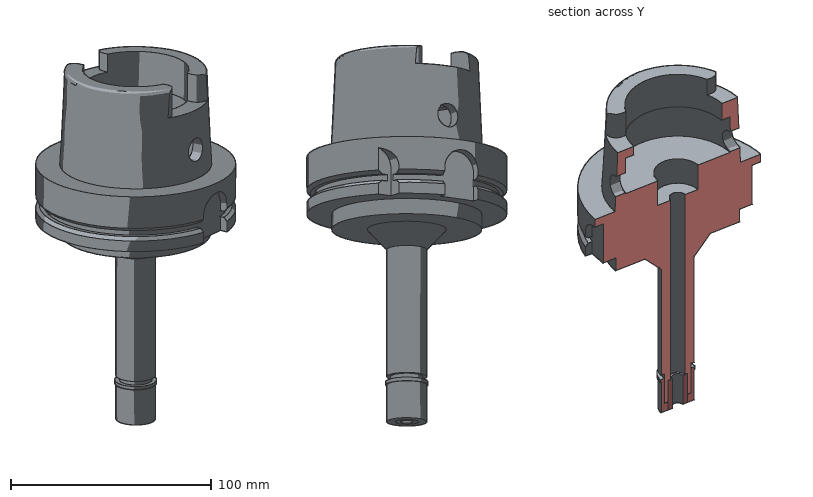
import cadquery as cq

SHANK_HEIGHT = 50.0
SHANK_BASE_R = 38.0
SHANK_TOP_R = 35.65
SHANK_RIM_FILLET = 2.0
BORE_R = 26.5
BORE_LIP_Z = 30.0
UNDERCUT_R = 31.5
BORE_FLOOR_Z = 8.5
TUBE_SEAT_R = 12.0
TUBE_SEAT_DEPTH = 15.0
COOLANT_R = 4.25
CROSS_HOLE_R = 6.0
CROSS_HOLE_Z = 15.0

KEYWAY_WIDTH = 20.0
KEYWAY_FLAT_X = 32.15
KEYWAY_CORNER_R = 5.0
KEYWAY_FLOOR_LEFT_Z = 40.5
KEYWAY_FLOOR_RIGHT_Z = 35.5

FLANGE_R = 50.0
FLANGE_BOTTOM_Z = -29.0
GROOVE_FLOOR_R = 46.0
GROOVE_CENTER_Z = -20.05
GROOVE_WIDTH = 3.2
GROOVE_CHAMFER = 1.75

SLOT_WIDTH = 20.0
SLOT_TOP_Z = -5.0
SLOT_FLOOR_X = 45.0
NOTCH_FLOOR_X = 32.0
NOTCH_CENTER_Y = 41.0

HUB_R = 37.5
HUB_BOTTOM_Z = -36.75
CONE_TOP_R = 19.75
STEM_R = 10.0
STEM_TOP_Z = -47.0
STEM_BOTTOM_Z = -111.9
NECK_R = 8.2

END_Z = -135.0
NUT_TOP_Z = -114.4
NUT_RIM_R = 10.5
NUT_RIM_HEIGHT = 1.8
NUT_R = STEM_R
NUT_FRONT_WALL = 5.0
NECK_BOTTOM_Z = END_Z + NUT_FRONT_WALL
COLLET_R = 5.75
COLLET_LENGTH = 18.0
COLLET_TOP_Z = END_Z + COLLET_LENGTH
COLLET_BORE_R = 3.1

OVERCUT = 1.0


def cylinder(radius, bottom_z, top_z):
    """Upright cylinder on the Z axis."""
    return cq.Workplane("XY").workplane(offset=bottom_z).circle(radius).extrude(top_z - bottom_z)


def holder_blank():
    """Revolved outside of the holder, from the shank rim down to the threaded neck."""
    floor_half = GROOVE_WIDTH / 2
    mouth_half = floor_half + GROOVE_CHAMFER
    chamfer_r = FLANGE_R - GROOVE_CHAMFER
    profile = [
        (0, SHANK_HEIGHT),
        (SHANK_TOP_R, SHANK_HEIGHT),
        (SHANK_BASE_R, 0),
        (FLANGE_R, 0),
        (FLANGE_R, GROOVE_CENTER_Z + mouth_half),
        (chamfer_r, GROOVE_CENTER_Z + floor_half),
        (GROOVE_FLOOR_R, GROOVE_CENTER_Z + floor_half),
        (GROOVE_FLOOR_R, GROOVE_CENTER_Z - floor_half),
        (chamfer_r, GROOVE_CENTER_Z - floor_half),
        (FLANGE_R, GROOVE_CENTER_Z - mouth_half),
        (FLANGE_R, FLANGE_BOTTOM_Z),
        (HUB_R, FLANGE_BOTTOM_Z),
        (HUB_R, HUB_BOTTOM_Z),
        (CONE_TOP_R, HUB_BOTTOM_Z),
        (STEM_R, STEM_TOP_Z),
        (STEM_R, STEM_BOTTOM_Z),
        (NECK_R, STEM_BOTTOM_Z),
        (NECK_R, NECK_BOTTOM_Z),
        (0, NECK_BOTTOM_Z),
    ]
    blank = cq.Workplane("XZ").polyline(profile).close().revolve(360, (0, 0), (0, 1))
    return blank.faces(">Z").edges().fillet(SHANK_RIM_FILLET)


def holder_cavity():
    """Clamping bore with its undercut, tube seat, coolant bore and collet seat."""
    seat_bottom_z = BORE_FLOOR_Z - TUBE_SEAT_DEPTH
    cavity = cylinder(BORE_R, BORE_FLOOR_Z, SHANK_HEIGHT + OVERCUT)
    cavity = cavity.union(cylinder(UNDERCUT_R, BORE_FLOOR_Z, BORE_LIP_Z))
    cavity = cavity.union(cylinder(TUBE_SEAT_R, seat_bottom_z, BORE_FLOOR_Z))
    cavity = cavity.union(cylinder(COOLANT_R, COLLET_TOP_Z, seat_bottom_z))
    return cavity.union(cylinder(COLLET_R, NECK_BOTTOM_Z, COLLET_TOP_Z))


def keyway_cutter(side, floor_z):
    """Keyway on one X side: a gap with rounded mouth corners, opening into a flat."""
    inner_x = BORE_R / 2
    outer_x = SHANK_BASE_R + OVERCUT
    half_width = KEYWAY_WIDTH / 2
    corner_x = KEYWAY_FLAT_X - KEYWAY_CORNER_R
    corner_y = half_width + KEYWAY_CORNER_R
    outline = (
        cq.Workplane("XY")
        .workplane(offset=floor_z)
        .moveTo(side * inner_x, -half_width)
        .lineTo(side * corner_x, -half_width)
        .radiusArc((side * KEYWAY_FLAT_X, -corner_y), side * KEYWAY_CORNER_R)
        .lineTo(side * KEYWAY_FLAT_X, -SHANK_BASE_R)
        .lineTo(side * outer_x, -SHANK_BASE_R)
        .lineTo(side * outer_x, SHANK_BASE_R)
        .lineTo(side * KEYWAY_FLAT_X, SHANK_BASE_R)
        .lineTo(side * KEYWAY_FLAT_X, corner_y)
        .radiusArc((side * corner_x, half_width), side * KEYWAY_CORNER_R)
        .lineTo(side * inner_x, half_width)
        .close()
    )
    return outline.extrude(SHANK_HEIGHT + OVERCUT - floor_z)


def arched_slot_cutter(side, floor_x, center_y):
    """Round-topped slot cut along X from outside the flange, open at the flange bottom."""
    half_width = SLOT_WIDTH / 2
    spring_z = SLOT_TOP_Z - half_width
    bottom_z = FLANGE_BOTTOM_Z
    outline = (
        cq.Workplane("YZ")
        .workplane(offset=side * floor_x)
        .moveTo(center_y - half_width, bottom_z)
        .lineTo(center_y - half_width, spring_z)
        .threePointArc((center_y, SLOT_TOP_Z), (center_y + half_width, spring_z))
        .lineTo(center_y + half_width, bottom_z)
        .close()
    )
    return outline.extrude(side * (FLANGE_R + OVERCUT - floor_x))


def make_holder():
    """Tool holder with hollow taper shank, flange and slender stem."""
    holder = holder_blank().cut(holder_cavity())
    holder = holder.cut(keyway_cutter(-1, KEYWAY_FLOOR_LEFT_Z))
    holder = holder.cut(keyway_cutter(1, KEYWAY_FLOOR_RIGHT_Z))

    cross_hole = (
        cq.Workplane("YZ").center(0, CROSS_HOLE_Z).circle(CROSS_HOLE_R).extrude(SHANK_BASE_R, both=True)
    )
    holder = holder.cut(cross_hole)

    for side in (-1, 1):
        holder = holder.cut(arched_slot_cutter(side, SLOT_FLOOR_X, 0))
    return holder.cut(arched_slot_cutter(-1, NOTCH_FLOOR_X, NOTCH_CENTER_Y))


def make_nut():
    """Clamping nut screwed over the neck, with a thin rim at its upper edge."""
    nut = cylinder(NUT_R, END_Z, NUT_TOP_Z)
    nut = nut.union(cylinder(NUT_RIM_R, NUT_TOP_Z - NUT_RIM_HEIGHT, NUT_TOP_Z))
    nut = nut.cut(cylinder(NECK_R, NECK_BOTTOM_Z, NUT_TOP_Z))
    return nut.cut(cylinder(COLLET_R, END_Z, NECK_BOTTOM_Z))


def make_collet():
    """Collet sleeve held in the neck and the nut."""
    return cylinder(COLLET_R, END_Z, COLLET_TOP_Z).cut(cylinder(COLLET_BORE_R, END_Z, COLLET_TOP_Z))


holder = make_holder()
nut = make_nut()
collet = make_collet()

result = cq.Compound.makeCompound([holder.val(), nut.val(), collet.val()])